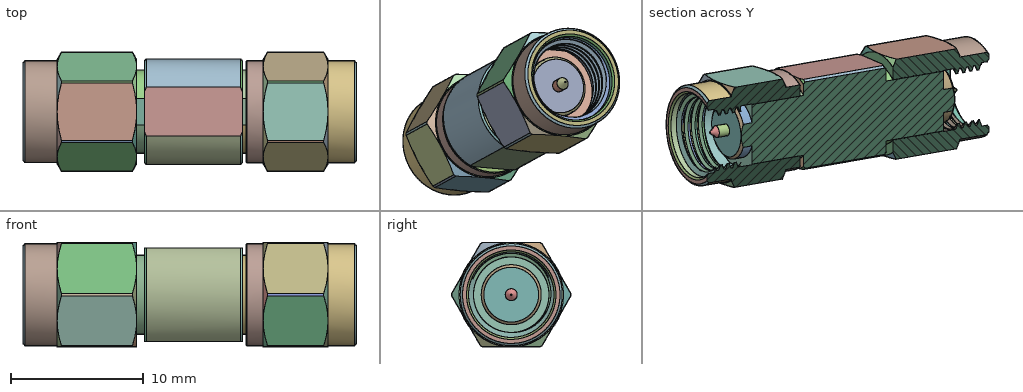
import cadquery as cq
import math

LENGTH = 25.2

HEX_FLATS = 7.9
HEX_CORNERS = 9.0
BARREL_RADIUS = 3.85
MOUTH_CHAMFER = 0.18
HEX_BEVEL_ANGLE = math.radians(30)

LEFT_NUT_LENGTH = 8.6
LEFT_HEX_START = 2.6
LEFT_HEX_LENGTH = LEFT_NUT_LENGTH - LEFT_HEX_START
RIGHT_NUT_LENGTH = 8.37
RIGHT_HEX_START = 2.17
RIGHT_HEX_LENGTH = 4.9
RIGHT_REAR_CHAMFER = 0.08

MOUTH_RADIUS = 3.38
ENTRY_RADIUS = 3.23
ENTRY_DEPTH = 0.63
BORE_RADIUS = 2.85
FLANK_ANGLE = math.radians(30)
THREAD_ROOT_RADIUS = 3.12
RELIEF_RADIUS = 3.15
THREAD_PITCH = 0.63
THREAD_START = 0.43
RELIEF_START = 3.05
GROOVE_ROOT_WIDTH = 0.13
GROOVE_RUNOUT = 0.3
CUT_MARGIN = 0.08

PIN_RADIUS = 0.45
PIN_TIP_RADIUS = 0.05
PIN_TIP_DEPTH = 1.6
PIN_CONE_LENGTH = 0.55
PLUG_RADIUS = 2.27
PLUG_CHAMFER = 0.2
PLUG_DEPTH = 3.05
FLOOR_DEPTH = 4.03
NECK_RADIUS = RELIEF_RADIUS
NECK_FLATS = 5.97
SLEEVE_RADIUS = 3.995
SLEEVE_FLATS = 7.08
SLEEVE_START = 9.17
SLEEVE_LENGTH = 7.4
SLEEVE_CHAMFER = 0.15


def turned(points):
    """Revolve an (x, radius) outline about the X axis."""
    return cq.Workplane("XY").polyline(points).close().revolve(360, (0, 0, 0), (1, 0, 0))


def bevelled_hexagon(start, length):
    """Hexagon with flats facing Z, its corners trimmed round and bevelled at both ends."""
    corner_radius = HEX_CORNERS / 2
    end_radius = HEX_FLATS / 2
    bevel_length = (corner_radius - end_radius) * math.tan(HEX_BEVEL_ANGLE)
    end = start + length
    sharp_diameter = HEX_FLATS / math.cos(math.pi / 6)
    hexagon = cq.Workplane("YZ", origin=(start, 0, 0)).polygon(6, sharp_diameter).extrude(length)
    envelope = turned([
        (start, 0),
        (start, end_radius),
        (start + bevel_length, corner_radius),
        (end - bevel_length, corner_radius),
        (end, end_radius),
        (end, 0),
    ])
    return hexagon.intersect(envelope)


def nut_bore(length):
    """Chamfered mouth, smooth entry, tapered lead-in, thread bore and rear relief."""
    entry_start = MOUTH_RADIUS - ENTRY_RADIUS
    lead_in_length = (ENTRY_RADIUS - BORE_RADIUS) * math.tan(FLANK_ANGLE)
    return turned([
        (0, 0),
        (0, MOUTH_RADIUS),
        (entry_start, ENTRY_RADIUS),
        (ENTRY_DEPTH, ENTRY_RADIUS),
        (ENTRY_DEPTH + lead_in_length, BORE_RADIUS),
        (RELIEF_START, BORE_RADIUS),
        (RELIEF_START, RELIEF_RADIUS),
        (length, RELIEF_RADIUS),
        (length, 0),
    ])


def thread_groove():
    """Right-handed helical groove that cuts the internal thread and runs out into the relief."""
    inner_radius = BORE_RADIUS - CUT_MARGIN
    root_half = GROOVE_ROOT_WIDTH / 2
    inner_half = root_half + (THREAD_ROOT_RADIUS - inner_radius) * math.tan(FLANK_ANGLE)
    groove_length = RELIEF_START + GROOVE_RUNOUT - THREAD_START
    path = cq.Wire.makeHelix(THREAD_PITCH, groove_length, BORE_RADIUS)
    profile = cq.Workplane("XZ").polyline([
        (inner_radius, -inner_half),
        (THREAD_ROOT_RADIUS, -root_half),
        (THREAD_ROOT_RADIUS, root_half),
        (inner_radius, inner_half),
    ]).close()
    groove = profile.sweep(cq.Workplane(path), isFrenet=True)
    return groove.rotate((0, 0, 0), (0, 1, 0), 90).translate((THREAD_START, 0, 0))


def coupling_nut(length, hex_start, hex_length, rear_chamfer):
    """Threaded nut with its mouth at x = 0 and its rear face at x = length."""
    barrel = turned([
        (0, 0),
        (0, BARREL_RADIUS - MOUTH_CHAMFER),
        (MOUTH_CHAMFER, BARREL_RADIUS),
        (length, BARREL_RADIUS),
        (length, 0),
    ])
    if rear_chamfer > 0:
        barrel = barrel.faces(">X").chamfer(rear_chamfer)
    nut = barrel.union(bevelled_hexagon(hex_start, hex_length))
    return nut.cut(nut_bore(length)).cut(thread_groove())


def with_flats(shape, start, length, width):
    """Trim a turned length to a given width across its +Z and -Z flats."""
    slab = cq.Workplane("XY").box(length, 2 * SLEEVE_RADIUS, width).translate((start + length / 2, 0, 0))
    return shape.intersect(slab)


def end_plug():
    """Pin and plug of the end at x = 0, back to the floor of the nut's cavity."""
    return turned([
        (PIN_TIP_DEPTH, 0),
        (PIN_TIP_DEPTH, PIN_TIP_RADIUS),
        (PIN_TIP_DEPTH + PIN_CONE_LENGTH, PIN_RADIUS),
        (PLUG_DEPTH, PIN_RADIUS),
        (PLUG_DEPTH, PLUG_RADIUS - PLUG_CHAMFER),
        (PLUG_DEPTH + PLUG_CHAMFER, PLUG_RADIUS),
        (FLOOR_DEPTH, PLUG_RADIUS),
        (FLOOR_DEPTH, 0),
    ])


def facing_right(shape):
    """Turn a part built at the left end round to the right end."""
    return shape.rotate((0, 0, 0), (0, 0, 1), 180).translate((LENGTH, 0, 0))


def adapter_body():
    """Sleeve and neck with flats, the neck running through both nuts, and a plug at each end."""
    neck_length = LENGTH - 2 * FLOOR_DEPTH
    neck = cq.Workplane("YZ", origin=(FLOOR_DEPTH, 0, 0)).circle(NECK_RADIUS).extrude(neck_length)
    neck = with_flats(neck, FLOOR_DEPTH, neck_length, NECK_FLATS)
    sleeve = cq.Workplane("YZ", origin=(SLEEVE_START, 0, 0)).circle(SLEEVE_RADIUS).extrude(SLEEVE_LENGTH)
    sleeve = sleeve.faces("<X or >X").chamfer(SLEEVE_CHAMFER)
    sleeve = with_flats(sleeve, SLEEVE_START, SLEEVE_LENGTH, SLEEVE_FLATS)
    left_plug = end_plug()
    return neck.union(sleeve).union(left_plug).union(facing_right(left_plug))


body = adapter_body()
left_nut = coupling_nut(LEFT_NUT_LENGTH, LEFT_HEX_START, LEFT_HEX_LENGTH, 0)
right_nut = coupling_nut(RIGHT_NUT_LENGTH, RIGHT_HEX_START, RIGHT_HEX_LENGTH, RIGHT_REAR_CHAMFER)
right_nut = facing_right(right_nut)

result = cq.Compound.makeCompound([part.solids().val() for part in (body, left_nut, right_nut)])